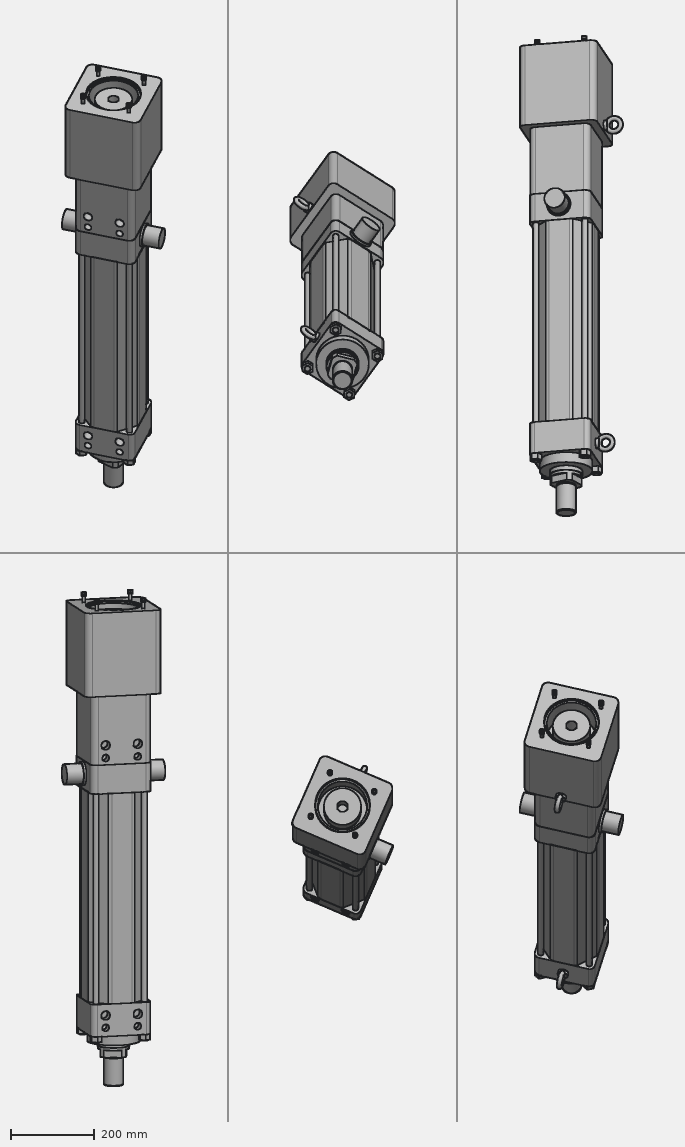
import cadquery as cq
import math

SQUARE_BOTTOM_Z = 72.0
SQUARE_TOP_Z = 90.0
WIPER_BOTTOM_Z = 97.0
FLANGE_BOTTOM_Z = 108.0
HEAD_BOTTOM_Z = 133.0
HEAD_TOP_Z = 212.0
TRUNNION_BOTTOM_Z = 726.0
TRUNNION_TOP_Z = 797.0
ADAPTER_BOTTOM_Z = 968.0
ADAPTER_TOP_Z = 1172.0
TOTAL_HEIGHT = 1196.0
TOTAL_WIDTH = 245.0

BLOCK_WIDTH = 150.0
TRUNNION_BLOCK_WIDTH = 151.0
BLOCK_CORNER_RADIUS = 15.0
HEAD_CORNER_RADIUS = 13.0
ADAPTER_WIDTH = 190.0
ADAPTER_CORNER_RADIUS = 15.0

PAD_DISTANCE = 74.0
PAD_HALF_WIDTH = 25.0
PAD_HEIGHT = 2.0
SHOULDER_HALF_WIDTH = 33.0

TIE_ROD_SPACING = 121.0
TIE_ROD_DIAMETER = 14.0
TIE_ROD_END_LENGTH = 17.0
NUT_SIDES = 6
NUT_CORNER_DIAMETER = 29.0
NUT_HEIGHT = 14.0

PIVOT_Z = 764.0
PIVOT_DIAMETER = 50.0
COLLAR_DIAMETER = 57.0
COLLAR_WIDTH = 163.0

MOUNTING_HOLE_SPACING = 80.0
PIN_HOLE_DIAMETER = 22.0
THREADED_HOLE_DIAMETER = 17.0
MOUNTING_HOLE_DEPTH = 24.0
DRILL_POINT_ANGLE = 118
PIN_HOLE_HEIGHTS = (184.0, 845.0)
THREADED_HOLE_HEIGHTS = (154.0, 813.0)

PILOT_DIAMETER = 129.0
PILOT_DEPTH = 6.0
PILOT_CHAMFER = 1.8
BORE_DIAMETER = 118.0
BORE_DEPTH = 72.0
HUB_DIAMETER = 90.0
HUB_RECESS = 17.0
SHAFT_HOLE_DIAMETER = 26.0
SHAFT_HOLE_DEPTH = 48.0

EYE_RING_RADIUS = 17.0
EYE_WIRE_RADIUS = 6.0
EYE_BASE_DIAMETER = 25.0
EYE_BASE_HEIGHT = 8.0
EYE_CENTRE_OFFSET = 23.0
ADAPTER_EYE_Z = 986.0
HEAD_EYE_Z = 172.0

FLANGE_DIAMETER = 127.0
WIPER_DIAMETER = 79.0
ROD_DIAMETER = 75.0
ROD_TOP_Z = HEAD_TOP_Z
FLAT_DISTANCE = 31.0
FLAT_ANGLE = 19
THREAD_DIAMETER = 48.0
THREAD_CHAMFER = 2.0
RELIEF_DIAMETER = 45.0
RELIEF_LENGTH = 4.0

SCREW_SPACING = 116.0
SCREW_DIAMETER = 8.0
SCREW_HEAD_DIAMETER = 12.0
SCREW_HEAD_HEIGHT = 8.0
SOCKET_DIAMETER = 6.6
SOCKET_DEPTH = 5.0
SCREW_DEPTH = 24.0


def at_height(z):
    return cq.Workplane("XY", origin=(0, 0, z))


def cylinder(diameter, bottom, top):
    return at_height(bottom).circle(diameter / 2).extrude(top - bottom)


def square_block(width, corner_radius, bottom, top):
    block = at_height(bottom).rect(width, width).extrude(top - bottom)
    return block.edges("|Z").fillet(corner_radius)


def square_corners(spacing):
    half = spacing / 2
    return [(x, y) for x in (-half, half) for y in (-half, half)]


def tube():
    shoulder = PAD_DISTANCE - PAD_HEIGHT
    side = [
        (-SHOULDER_HALF_WIDTH, -shoulder),
        (-PAD_HALF_WIDTH, -PAD_DISTANCE),
        (PAD_HALF_WIDTH, -PAD_DISTANCE),
        (SHOULDER_HALF_WIDTH, -shoulder),
    ]
    outline = []
    for quarter in range(4):
        angle = quarter * math.pi / 2
        for x, y in side:
            turned_x = x * math.cos(angle) - y * math.sin(angle)
            turned_y = x * math.sin(angle) + y * math.cos(angle)
            outline.append((turned_x, turned_y))
    return at_height(HEAD_TOP_Z).polyline(outline).close().extrude(TRUNNION_BOTTOM_Z - HEAD_TOP_Z)


def tie_rods():
    bottom = HEAD_BOTTOM_Z - TIE_ROD_END_LENGTH
    corners = square_corners(TIE_ROD_SPACING)
    rods = at_height(bottom).pushPoints(corners).circle(TIE_ROD_DIAMETER / 2)
    rods_with_nuts = rods.extrude(TRUNNION_BOTTOM_Z - bottom)
    nut = at_height(HEAD_BOTTOM_Z).polygon(NUT_SIDES, NUT_CORNER_DIAMETER).extrude(-NUT_HEIGHT)
    nut = nut.rotate((0, 0, 0), (0, 0, 1), 90)
    for x, y in corners:
        rods_with_nuts = rods_with_nuts.union(nut.translate((x, y, 0)))
    return rods_with_nuts


def trunnion_pivots():
    plane = cq.Workplane("YZ", origin=(0, 0, PIVOT_Z))
    pivots = plane.circle(PIVOT_DIAMETER / 2).extrude(TOTAL_WIDTH / 2, both=True)
    collars = plane.circle(COLLAR_DIAMETER / 2).extrude(COLLAR_WIDTH / 2, both=True)
    return pivots.union(collars)


def lifting_eye(face_y, z):
    centre_y = face_y + EYE_CENTRE_OFFSET
    centre = cq.Vector(0, centre_y, z)
    ring = cq.Workplane(cq.Solid.makeTorus(EYE_RING_RADIUS, EYE_WIRE_RADIUS, centre, cq.Vector(1, 0, 0)))
    base = cq.Workplane("XZ", origin=(0, face_y, z)).circle(EYE_BASE_DIAMETER / 2).extrude(-EYE_BASE_HEIGHT)
    return ring.union(base)


def mounting_holes(diameter, z):
    plane = cq.Workplane("XZ", origin=(0, -BLOCK_WIDTH / 2, z))
    half = MOUNTING_HOLE_SPACING / 2
    return plane.pushPoints([(-half, 0), (half, 0)]).circle(diameter / 2).extrude(-MOUNTING_HOLE_DEPTH)


def drill_points(diameter, z):
    radius = diameter / 2
    length = radius / math.tan(math.radians(DRILL_POINT_ANGLE / 2))
    start_y = -BLOCK_WIDTH / 2 + MOUNTING_HOLE_DEPTH
    inward = cq.Vector(0, 1, 0)
    points = cq.Workplane("XY")
    for x in (-MOUNTING_HOLE_SPACING / 2, MOUNTING_HOLE_SPACING / 2):
        start = cq.Vector(x, start_y, z)
        points = points.add(cq.Solid.makeCone(radius, 0, length, start, inward))
    return points.combine()


def motor_seat():
    hub_top = ADAPTER_TOP_Z - HUB_RECESS
    pilot = cylinder(PILOT_DIAMETER, ADAPTER_TOP_Z - PILOT_DEPTH, ADAPTER_TOP_Z)
    lead_in = at_height(ADAPTER_TOP_Z).circle(PILOT_DIAMETER / 2 + PILOT_CHAMFER)
    lead_in = lead_in.workplane(offset=-PILOT_CHAMFER).circle(PILOT_DIAMETER / 2).loft(ruled=True)
    bore = cylinder(BORE_DIAMETER, ADAPTER_TOP_Z - BORE_DEPTH, ADAPTER_TOP_Z)
    hub = cylinder(HUB_DIAMETER, ADAPTER_TOP_Z - BORE_DEPTH, hub_top)
    shaft_hole = cylinder(SHAFT_HOLE_DIAMETER, hub_top - SHAFT_HOLE_DEPTH, hub_top)
    return pilot.union(lead_in).union(bore).cut(hub).union(shaft_hole)


def screw_holes():
    holes = at_height(ADAPTER_TOP_Z).pushPoints(square_corners(SCREW_SPACING)).circle(SCREW_DIAMETER / 2)
    return holes.extrude(-SCREW_DEPTH)


def make_housing():
    body = square_block(BLOCK_WIDTH, HEAD_CORNER_RADIUS, HEAD_BOTTOM_Z, HEAD_TOP_Z)
    body = body.union(tube())
    body = body.union(
        square_block(TRUNNION_BLOCK_WIDTH, BLOCK_CORNER_RADIUS, TRUNNION_BOTTOM_Z, TRUNNION_TOP_Z)
    )
    body = body.union(square_block(BLOCK_WIDTH, BLOCK_CORNER_RADIUS, TRUNNION_TOP_Z, ADAPTER_BOTTOM_Z))
    body = body.union(square_block(ADAPTER_WIDTH, ADAPTER_CORNER_RADIUS, ADAPTER_BOTTOM_Z, ADAPTER_TOP_Z))
    body = body.union(tie_rods())
    body = body.union(trunnion_pivots())
    body = body.union(cylinder(FLANGE_DIAMETER, FLANGE_BOTTOM_Z, HEAD_BOTTOM_Z))
    body = body.union(cylinder(WIPER_DIAMETER, WIPER_BOTTOM_Z, FLANGE_BOTTOM_Z))
    body = body.union(lifting_eye(ADAPTER_WIDTH / 2, ADAPTER_EYE_Z))
    body = body.union(lifting_eye(BLOCK_WIDTH / 2, HEAD_EYE_Z))
    for z in PIN_HOLE_HEIGHTS:
        body = body.cut(mounting_holes(PIN_HOLE_DIAMETER, z))
    for z in THREADED_HOLE_HEIGHTS:
        body = body.cut(mounting_holes(THREADED_HOLE_DIAMETER, z))
        body = body.cut(drill_points(THREADED_HOLE_DIAMETER, z))
    body = body.cut(motor_seat())
    body = body.cut(screw_holes())
    return body.cut(cylinder(ROD_DIAMETER, WIPER_BOTTOM_Z, ROD_TOP_Z))


def make_piston_rod():
    shank = cylinder(ROD_DIAMETER, SQUARE_TOP_Z, ROD_TOP_Z)
    flats = at_height(SQUARE_BOTTOM_Z).rect(2 * FLAT_DISTANCE, 2 * FLAT_DISTANCE)
    flats = flats.extrude(SQUARE_TOP_Z - SQUARE_BOTTOM_Z).rotate((0, 0, 0), (0, 0, 1), -FLAT_ANGLE)
    square = cylinder(ROD_DIAMETER, SQUARE_BOTTOM_Z, SQUARE_TOP_Z).intersect(flats)
    relief_bottom = SQUARE_BOTTOM_Z - RELIEF_LENGTH
    relief = cylinder(RELIEF_DIAMETER, relief_bottom, SQUARE_BOTTOM_Z)
    thread = cylinder(THREAD_DIAMETER, 0, relief_bottom).faces("<Z").chamfer(THREAD_CHAMFER)
    return shank.union(square).union(relief).union(thread)


def make_motor_screw(x, y):
    bottom = ADAPTER_TOP_Z - SCREW_DEPTH
    head_bottom = TOTAL_HEIGHT - SCREW_HEAD_HEIGHT
    shank = cylinder(SCREW_DIAMETER, bottom, head_bottom)
    head = cylinder(SCREW_HEAD_DIAMETER, head_bottom, TOTAL_HEIGHT)
    socket = cylinder(SOCKET_DIAMETER, TOTAL_HEIGHT - SOCKET_DEPTH, TOTAL_HEIGHT)
    return shank.union(head).cut(socket).translate((x, y, 0))


housing = make_housing()
piston_rod = make_piston_rod()
motor_screws = [make_motor_screw(x, y) for x, y in square_corners(SCREW_SPACING)]

result = cq.Compound.makeCompound([housing.val(), piston_rod.val(), *[screw.val() for screw in motor_screws]])